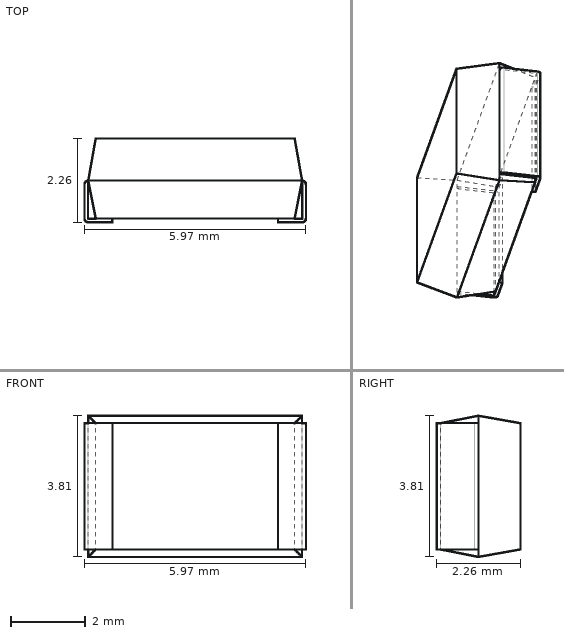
import cadquery as cq

length = 5.97
depth = 2.26
height = 3.81

lead_thickness = 0.1
lead_reach = 1.12
foot_length = 0.76

draft_inset = 0.2
housing_length = length - 2 * lead_thickness
end_length = housing_length - 2 * draft_inset
end_height = height - 2 * draft_inset
lead_height = end_height

mount_y = -depth / 2
seat_y = mount_y + lead_thickness
parting_y = mount_y + lead_reach
back_y = depth / 2


def make_housing_half(end_y):
    """Frustum from the full section at the parting plane to the smaller end face at end_y."""
    return (
        cq.Workplane("XZ", origin=(0, parting_y, 0))
        .rect(housing_length, height)
        .workplane(offset=parting_y - end_y)
        .rect(end_length, end_height)
        .loft(ruled=True, combine=True)
    )


def make_right_lead():
    """L-shaped strip covering the +X end of the housing, with its foot turned inwards."""
    outer_x = length / 2
    inner_x = housing_length / 2
    foot_x = outer_x - foot_length
    return (
        cq.Workplane("XY")
        .moveTo(foot_x, seat_y)
        .lineTo(foot_x, mount_y)
        .lineTo(inner_x, mount_y)
        .radiusArc((outer_x, seat_y), -lead_thickness)
        .lineTo(outer_x, parting_y - lead_thickness)
        .radiusArc((inner_x, parting_y), -lead_thickness)
        .lineTo(inner_x, seat_y)
        .close()
        .extrude(lead_height / 2, both=True)
    )


mounting_half = make_housing_half(seat_y)
back_half = make_housing_half(back_y)
right_lead = make_right_lead()
left_lead = right_lead.mirror("YZ")

result = cq.Compound.makeCompound(
    [mounting_half.val(), back_half.val(), right_lead.val(), left_lead.val()]
)